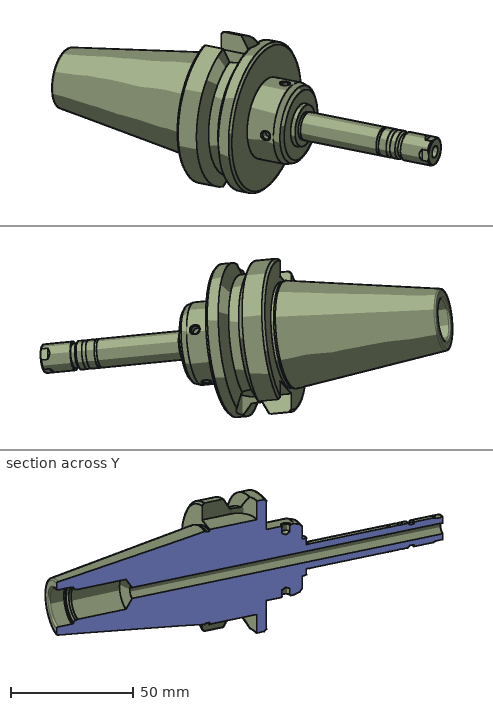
import cadquery as cq
import math

total_length = 170.4

gauge_x = 65.5
gauge_diameter = 44.5
gauge_radius = gauge_diameter / 2
taper_ratio = 7 / 48
taper_end_fillet = 0.9
neck_bevel_length = 0.9
neck_radius = 21.8

flange_start_x = 67.5
flange_end_x = 92.7
flange_radius = 31.5
flange_chamfer = 1.0
groove_center_x = 82.0
groove_floor_width = 4.3
groove_floor_radius = 26.4
groove_wall_angle = 30.0

slot_width = 16.0
slot_floor_z = 22.7
slot_end_x = 88.3

nose_radius = 17.0
nose_end_x = 108.5
nose_bevel_start_x = 104.8
nose_corner_x = 107.4
nose_corner_radius = 16.2
nose_face_radius = 14.7
collar_end_x = 110.5
collar_radius = 9.0
collar_face_radius = 8.7

pin_hole_x = 101.2
pin_hole_count = 4
pin_hole_diameter = 3.4
pin_hole_mouth_diameter = 4.5
pin_hole_depth = 3.4

shaft_radius = 6.0
ring_depth = 0.09
ring_spans = [(collar_end_x, 111.5), (146.4, 147.4), (151.0, 152.7)]
undercut_start_x = 155.0
undercut_end_x = 157.6
undercut_diameter = 10.0
undercut_radius = undercut_diameter / 2
undercut_bevel_length = 0.9
nut_chamfer = 0.5

flat_count = 4
flat_distance = 5.5
flat_start_x = 167.3
flat_ramp_length = 1.0

counterbore_radius = 8.7
counterbore_depth = 6.8
ledge_radius = 8.5
ledge_depth = 7.5
relief_mouth_radius = 8.0
relief_radius = 7.2
relief_chamfer = relief_mouth_radius - relief_radius
relief_end_x = 9.4
thread_radius = 7.0
thread_end_x = 30.7
through_diameter = 5.0
through_radius = through_diameter / 2
drill_point_angle = 118.0


def revolve_about_x(points):
    """Solid of revolution about X from (x, radius) points; closes along the axis."""
    start = (points[0][0], 0)
    end = (points[-1][0], 0)
    profile = cq.Workplane("XY").polyline([start] + points + [end]).close()
    return profile.revolve(360, (0, 0, 0), (1, 0, 0))


def make_body():
    half_floor = groove_floor_width / 2
    wall_length = (flange_radius - groove_floor_radius) * math.tan(math.radians(groove_wall_angle))
    half_mouth = half_floor + wall_length
    points = [
        (0, gauge_radius - gauge_x * taper_ratio),
        (gauge_x, gauge_radius),
        (gauge_x + neck_bevel_length, neck_radius),
        (flange_start_x, neck_radius),
        (flange_start_x, flange_radius - flange_chamfer),
        (flange_start_x + flange_chamfer, flange_radius),
        (groove_center_x - half_mouth, flange_radius),
        (groove_center_x - half_floor, groove_floor_radius),
        (groove_center_x + half_floor, groove_floor_radius),
        (groove_center_x + half_mouth, flange_radius),
        (flange_end_x - flange_chamfer, flange_radius),
        (flange_end_x, flange_radius - flange_chamfer),
        (flange_end_x, nose_radius),
        (nose_bevel_start_x, nose_radius),
        (nose_corner_x, nose_corner_radius),
        (nose_end_x, nose_face_radius),
        (nose_end_x, collar_radius),
        (collar_end_x, collar_face_radius),
        (collar_end_x, shaft_radius),
        (undercut_start_x, shaft_radius),
        (undercut_start_x + undercut_bevel_length, undercut_radius),
        (undercut_end_x, undercut_radius),
        (undercut_end_x, shaft_radius),
        (total_length - nut_chamfer, shaft_radius),
        (total_length, shaft_radius - nut_chamfer),
    ]
    return revolve_about_x(points)


def make_bore():
    cone_length = (thread_radius - through_radius) / math.tan(math.radians(drill_point_angle / 2))
    points = [
        (0, counterbore_radius),
        (counterbore_depth, counterbore_radius),
        (counterbore_depth, ledge_radius),
        (ledge_depth, ledge_radius),
        (ledge_depth, relief_mouth_radius),
        (ledge_depth + relief_chamfer, relief_radius),
        (relief_end_x, relief_radius),
        (relief_end_x, thread_radius),
        (thread_end_x, thread_radius),
        (thread_end_x + cone_length, through_radius),
        (total_length, through_radius),
    ]
    return revolve_about_x(points)


def make_drive_slot():
    """Round-ended slot above the +Z floor."""
    end_radius = slot_width / 2
    arc_x = slot_end_x - end_radius
    return (
        cq.Workplane("XY", origin=(0, 0, slot_floor_z))
        .moveTo(flange_start_x, -end_radius)
        .lineTo(arc_x, -end_radius)
        .threePointArc((slot_end_x, 0), (arc_x, end_radius))
        .lineTo(flange_start_x, end_radius)
        .close()
        .extrude(flange_radius)
    )


def make_pin_hole():
    """Blind hole on the +Z side of the nose with a countersunk mouth and a drill point."""
    radius = pin_hole_diameter / 2
    mouth_radius = pin_hole_mouth_diameter / 2
    chamfer = mouth_radius - radius
    floor_z = nose_radius - pin_hole_depth
    tip_z = floor_z - radius / math.tan(math.radians(drill_point_angle / 2))
    return (
        cq.Workplane("XZ")
        .moveTo(0, tip_z)
        .lineTo(radius, floor_z)
        .lineTo(radius, nose_radius - chamfer)
        .lineTo(mouth_radius, nose_radius)
        .lineTo(mouth_radius, nose_radius + chamfer)
        .lineTo(0, nose_radius + chamfer)
        .close()
        .revolve(360, (0, 0, 0), (0, 1, 0))
        .translate((pin_hole_x, 0, 0))
    )


def make_shaft_ring(start_x, end_x):
    """Shallow groove turned around the collet shaft."""
    return (
        cq.Workplane("YZ", origin=(start_x, 0, 0))
        .circle(shaft_radius + ring_depth)
        .circle(shaft_radius - ring_depth)
        .extrude(end_x - start_x)
    )


def make_nut_flat():
    """Flat on the +Z side of the nut, running out through a short ramp."""
    return (
        cq.Workplane("XZ")
        .moveTo(flat_start_x - flat_ramp_length, shaft_radius)
        .lineTo(flat_start_x, flat_distance)
        .lineTo(total_length, flat_distance)
        .lineTo(total_length, shaft_radius)
        .close()
        .extrude(shaft_radius, both=True)
    )


def cut_around_x(body, cutter, count):
    """Cut copies of the cutter evenly spaced around the X axis."""
    for i in range(count):
        body = body.cut(cutter.rotate((0, 0, 0), (1, 0, 0), i * 360 / count))
    return body


result = make_body()
result = cut_around_x(result, make_drive_slot(), 2)
result = cut_around_x(result, make_pin_hole(), pin_hole_count)
for ring_start, ring_end in ring_spans:
    result = result.cut(make_shaft_ring(ring_start, ring_end))
result = cut_around_x(result, make_nut_flat(), flat_count)
result = result.cut(make_bore())
result = result.faces("<X").edges().fillet(taper_end_fillet)